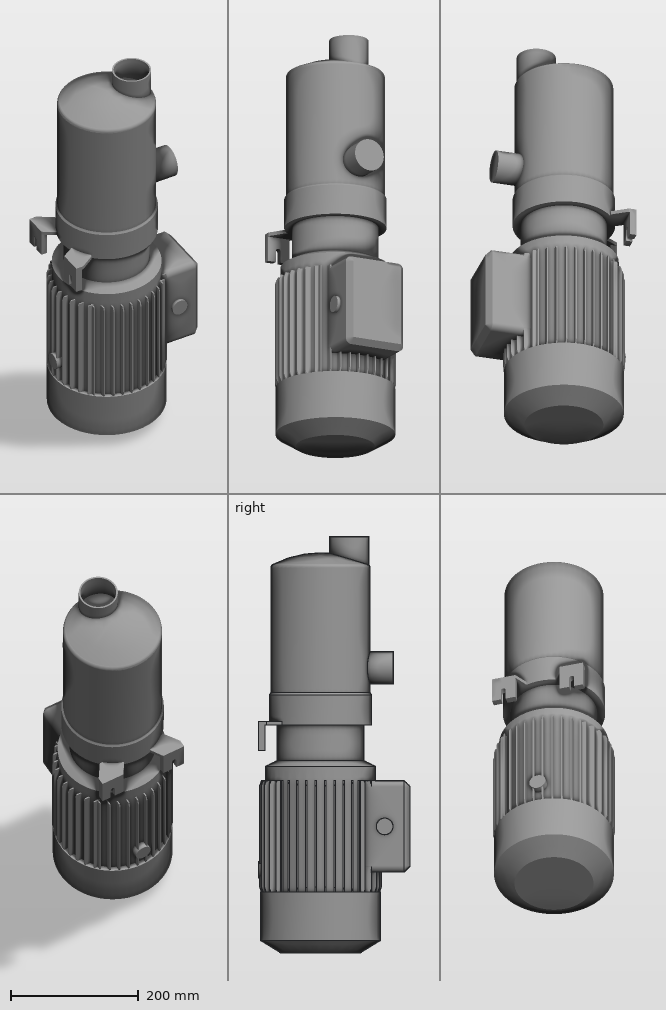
import cadquery as cq
import math


cover_radius = 94.0
cover_foot_radius = 62.0
cover_cone_height = 19.5
cover_top = 95.0
housing_radius = 86.0
housing_top = 269.5
flange_top = 291.5

neck_radius = 68.0
neck_bottom = 301.0
collar_radius = 80.0
collar_bottom = 356.0
collar_top = 403.5
collar_bevel_top = 407.0
body_radius = 77.5
shoulder_bottom = 602.0
dome_edge_radius = 73.0
dome_bottom = 608.0
dome_top = 625.5

fin_tip = 95.0
fin_thickness = 2.0
fin_pitch_angle = 9
fin_pairs_per_side = 5
fin_envelope_radius = 96.0
fin_end_radius = 92.5
fin_end_taper = 9.0

box_width = 101.5
box_height = 143
box_back = 140.0
box_edge_radius = 10.0
box_chamfer = 9.0

plug_radius = 13.0
drain_height = 130
front_face = 97.0
gland_reach = 56.0
gland_y = 100.0

inlet_radius = 30.5
inlet_wall = 2.5
inlet_y = 45.0
inlet_top = 651
outlet_radius = 25.5
outlet_height = 446.0
outlet_reach = 114.0

bracket_inner_x = 36.0
bracket_outer_x = 73.5
bracket_top = 362.0
bracket_bottom = 316.5
bracket_shoulder_y = -84.5
bracket_leg_thickness = 10.5
bracket_root_inner = (23.5, -77.0)
bracket_root_outer = (57.0, -60.0)
bracket_anchor = (38.0, -60.0)
slot_x = 55.5
slot_width = 8.0
slot_top = 338.5


def make_turned_body():
    """Cover, housing, neck, collar and domed pump body as one revolve."""
    dome_rise = dome_top - dome_bottom
    dome_radius = (dome_edge_radius**2 + dome_rise**2) / (2 * dome_rise)
    half_angle = math.asin(dome_edge_radius / dome_radius) / 2
    dome_mid = (
        dome_radius * math.sin(half_angle),
        dome_top - dome_radius * (1 - math.cos(half_angle)),
    )
    profile = (
        cq.Workplane("XZ")
        .moveTo(0, 0)
        .lineTo(cover_foot_radius, 0)
        .lineTo(cover_radius, cover_cone_height)
        .lineTo(cover_radius, cover_top)
        .lineTo(housing_radius, cover_top)
        .lineTo(housing_radius, flange_top)
        .lineTo(neck_radius, neck_bottom)
        .lineTo(neck_radius, collar_bottom)
        .lineTo(collar_radius, collar_bottom)
        .lineTo(collar_radius, collar_top)
        .lineTo(body_radius, collar_bevel_top)
        .lineTo(body_radius, shoulder_bottom)
        .tangentArcPoint((dome_edge_radius, dome_bottom), relative=False)
        .threePointArc(dome_mid, (0, dome_top))
        .close()
    )
    return profile.revolve(360, (0, 0, 0), (0, 1, 0))


def make_fins():
    """Straight fins, parallel to X on the X sides and to Y on the Y sides."""
    fin_height = housing_top - cover_top
    offsets = [
        fin_tip * math.sin(math.radians(fin_pitch_angle * (pair + 0.5)))
        for pair in range(fin_pairs_per_side)
    ]
    fin_reach = fin_tip - math.sqrt(housing_radius**2 - offsets[0]**2)
    side = cq.Workplane("XY")
    for offset in offsets:
        wall_x = math.sqrt(housing_radius**2 - offset**2)
        fin = cq.Workplane("XY").box(
            2 * fin_reach, fin_thickness, fin_height, centered=(True, True, False)
        )
        side = side.union(fin.translate((wall_x, offset, cover_top)))
        side = side.union(fin.translate((wall_x, -offset, cover_top)))
    fins = cq.Workplane("XY")
    for quarter in range(4):
        fins = fins.union(side.rotate((0, 0, 0), (0, 0, 1), 90 * quarter))
    envelope = (
        cq.Workplane("XZ")
        .moveTo(0, cover_top)
        .lineTo(fin_end_radius, cover_top)
        .lineTo(fin_envelope_radius, cover_top + fin_end_taper)
        .lineTo(fin_envelope_radius, housing_top - fin_end_taper)
        .lineTo(fin_end_radius, housing_top)
        .lineTo(0, housing_top)
        .close()
        .revolve(360, (0, 0, 0), (0, 1, 0))
    )
    return fins.intersect(envelope)


def make_terminal_box():
    """Box from the motor axis to the back, with rounded sides and a chamfered lid."""
    return (
        cq.Workplane("XY", origin=(0, 0, housing_top - box_height))
        .box(box_width, box_back, box_height, centered=(True, False, False))
        .edges("|Y")
        .fillet(box_edge_radius)
        .faces(">Y")
        .chamfer(box_chamfer)
    )


def make_drain_plug():
    return (
        cq.Workplane("XZ", origin=(0, 0, drain_height))
        .circle(plug_radius)
        .extrude(front_face)
    )


def make_cable_gland():
    """Gland on the +X side of the box, at half its height."""
    return (
        cq.Workplane("YZ", origin=(0, gland_y, housing_top - box_height / 2))
        .circle(plug_radius)
        .extrude(gland_reach)
    )


def make_inlet():
    """Open tube standing on the dome, its bore ending at the dome surface."""
    return (
        cq.Workplane("XY", origin=(0, inlet_y, shoulder_bottom))
        .circle(inlet_radius)
        .circle(inlet_radius - inlet_wall)
        .extrude(inlet_top - shoulder_bottom)
    )


def make_outlet():
    return (
        cq.Workplane("XZ", origin=(0, 0, outlet_height))
        .circle(outlet_radius)
        .extrude(-outlet_reach)
    )


def make_bracket():
    """Bracket on the +X side: a plate from the collar and a slotted leg."""
    plate = (
        cq.Workplane("XY", origin=(0, 0, collar_bottom))
        .polyline([
            bracket_anchor,
            bracket_root_inner,
            (bracket_inner_x, -front_face),
            (bracket_outer_x, -front_face),
            (bracket_outer_x, bracket_shoulder_y),
            bracket_root_outer,
        ])
        .close()
        .extrude(bracket_top - collar_bottom)
    )
    leg_x = (bracket_inner_x + bracket_outer_x) / 2
    leg_width = bracket_outer_x - bracket_inner_x
    leg = cq.Workplane("XY").box(
        leg_width, bracket_leg_thickness, bracket_top - bracket_bottom, centered=(True, False, False)
    ).translate((leg_x, -front_face, bracket_bottom))
    slot_radius = slot_width / 2
    slot = (
        cq.Workplane("XZ", origin=(slot_x, -front_face, 0))
        .moveTo(-slot_radius, bracket_bottom)
        .lineTo(-slot_radius, slot_top - slot_radius)
        .threePointArc((0, slot_top), (slot_radius, slot_top - slot_radius))
        .lineTo(slot_radius, bracket_bottom)
        .close()
        .extrude(-bracket_leg_thickness)
    )
    return plate.union(leg.cut(slot))


bracket = make_bracket()

result = (
    make_turned_body()
    .union(make_fins())
    .union(make_terminal_box())
    .union(make_drain_plug())
    .union(make_cable_gland())
    .union(make_inlet())
    .union(make_outlet())
    .union(bracket)
    .union(bracket.mirror("YZ"))
)